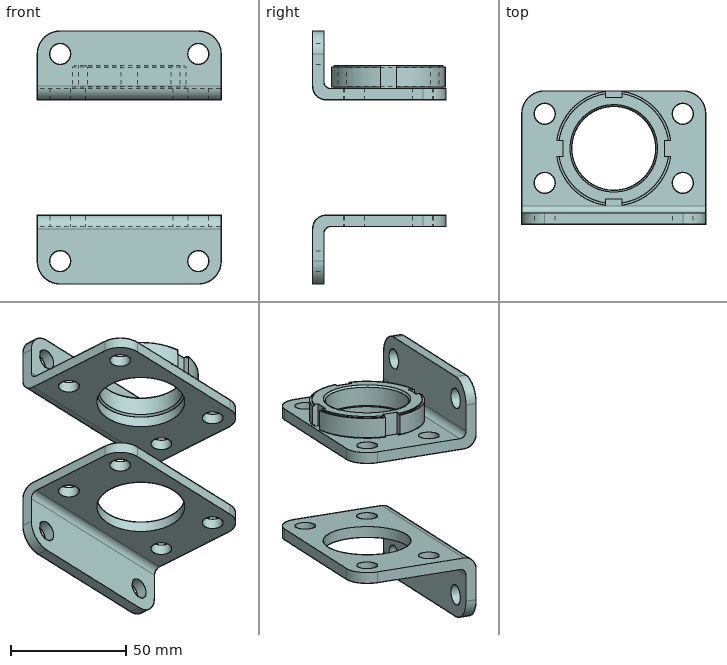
import cadquery as cq

width = 80.0
thickness = 5.0
flange_height = 30.0
back_y = 25.0
depth = 58.0
front_y = back_y - depth
bend_inner_radius = 3.0
bend_outer_radius = 6.0
corner_radius = 10.0

bore_diameter = 38.1
hole_diameter = 9.0
hole_spacing_x = 60.0
hole_spacing_y = 30.0
flange_hole_inset = 10.0

overall_height = 110.0
base_z = overall_height / 2 - flange_height
seat_z = base_z + thickness

nut_diameter = 50.0
nut_height = 10.0
nut_bore_diameter = 36.38
nut_step_width = 1.0
nut_step_height = 0.6
nut_countersink_diameter = 38.0
nut_countersink_depth = (nut_countersink_diameter - nut_bore_diameter) / 2
slot_count = 4
slot_width = 7.0
slot_floor_radius = 22.0


def make_upper_bracket():
    """L-bracket with its base at base_z and its flange pointing up."""
    flange_inner_y = front_y + thickness
    flange_top = base_z + flange_height

    bracket = (
        cq.Workplane("YZ")
        .moveTo(back_y, base_z)
        .lineTo(front_y + bend_outer_radius, base_z)
        .radiusArc((front_y, base_z + bend_outer_radius), bend_outer_radius)
        .lineTo(front_y, flange_top)
        .lineTo(flange_inner_y, flange_top)
        .lineTo(flange_inner_y, seat_z + bend_inner_radius)
        .radiusArc((flange_inner_y + bend_inner_radius, seat_z), -bend_inner_radius)
        .lineTo(back_y, seat_z)
        .close()
        .extrude(width / 2, both=True)
    )

    bracket = bracket.faces(">Y").edges("|Z").fillet(corner_radius)
    bracket = bracket.faces(">Z").edges("|Y").fillet(corner_radius)

    base_holes = (
        cq.Workplane("XY", origin=(0, 0, base_z))
        .rect(hole_spacing_x, hole_spacing_y, forConstruction=True)
        .vertices()
        .circle(hole_diameter / 2)
        .extrude(thickness)
    )
    bore = (
        cq.Workplane("XY", origin=(0, 0, base_z))
        .circle(bore_diameter / 2)
        .extrude(thickness)
    )
    flange_holes = (
        cq.Workplane("XZ", origin=(0, front_y, flange_top - flange_hole_inset))
        .pushPoints([(-hole_spacing_x / 2, 0), (hole_spacing_x / 2, 0)])
        .circle(hole_diameter / 2)
        .extrude(-thickness)
    )
    return bracket.cut(base_holes).cut(bore).cut(flange_holes)


def make_ring_nut():
    """Ring stepped at both ends, seated on the upper base, with spanner slots around its rim."""
    ring = (
        cq.Workplane("XY", origin=(0, 0, seat_z))
        .circle(nut_diameter / 2 - nut_step_width)
        .extrude(nut_height)
    )
    rim = (
        cq.Workplane("XY", origin=(0, 0, seat_z + nut_step_height))
        .circle(nut_diameter / 2)
        .extrude(nut_height - 2 * nut_step_height)
    )
    ring = ring.union(rim)

    nut_top = seat_z + nut_height
    bore_radius = nut_bore_diameter / 2
    mouth_radius = nut_countersink_diameter / 2
    bore = (
        cq.Workplane("XZ")
        .moveTo(0, seat_z)
        .lineTo(mouth_radius, seat_z)
        .lineTo(bore_radius, seat_z + nut_countersink_depth)
        .lineTo(bore_radius, nut_top - nut_countersink_depth)
        .lineTo(mouth_radius, nut_top)
        .lineTo(0, nut_top)
        .close()
        .revolve(360, (0, 0, 0), (0, 1, 0))
    )

    slots = (
        cq.Workplane("XY", origin=(0, 0, seat_z))
        .polarArray(slot_floor_radius + slot_width / 2, 0, 360, slot_count)
        .rect(slot_width, slot_width)
        .extrude(nut_height)
    )
    return ring.cut(bore).cut(slots)


upper_bracket = make_upper_bracket()
lower_bracket = upper_bracket.mirror("XY")
ring_nut = make_ring_nut()

result = cq.Compound.makeCompound([upper_bracket.val(), lower_bracket.val(), ring_nut.val()])